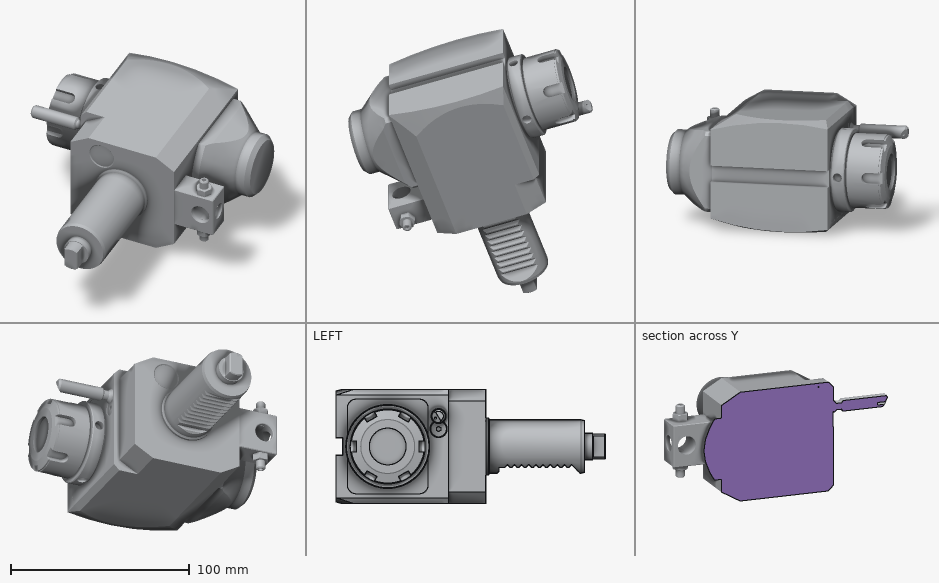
import cadquery as cq
import math


OVERALL_LENGTH = 128.63

BODY_DEPTH = 84.0
BODY_HALF_HEIGHT = 32.0
FRONT_LEFT_X = -32.0
REAR_COVER_FACE_X = 32.25
SPINDLE_FACE_X = -35.2
FRONT_SECTION_DEPTH = 21.0
SPINDLE_EDGE_CHAMFER = 3.2
BEVEL_HEIGHT = 6.5
BEVEL_LENGTH = BEVEL_HEIGHT / math.tan(math.radians(30))

CROWN_RADIUS = 150.0
CROWN_X = -8.9
CROWN_TOP_Z = 31.05
CROWN_SLOPE = math.tan(math.radians(15))

REAR_SLOT_WIDTH = 9.6
REAR_SLOT_DEPTH = 3.8

PLUG_RECESS_DIAMETER = 15.4
PLUG_RECESS_DEPTH = 0.5
RECESS_TAPER = 45.0
PLUG_RECESS_X = -12.6
PLUG_RECESS_Z = 21.7

FACE_PLATE_LENGTH = 45.3
FACE_PLATE_HEIGHT = 53.0
FACE_PLATE_CORNER = 5.0
FACE_PLATE_DEPTH = 0.1

SHANK_RADIUS = 15.0
COLLAR_RADIUS = 16.0
COLLAR_LENGTH = 1.4
COLLAR_TAPER_END = 2.1
SHANK_LENGTH = 55.2
SHANK_END_CHAMFER_LENGTH = 2.0
SHANK_END_CHAMFER = 0.5
DRIVE_BOSS_RADIUS = 7.5
DRIVE_BOSS_END = 59.7
TANG_END = 67.0
TANG_RADIUS = 7.1
TANG_THICKNESS = 8.0
TANG_CHAMFER = 0.5
TANG_BASE_FLARE = 0.6

RACK_START = 7.4
RACK_START_CHAMFER_Z = -13.9
RACK_DEPTH_Z = -11.9
RACK_GROOVE_DEPTH = 1.7
RACK_PITCH = 4.0
RACK_GROOVES = 10
RACK_FIRST_GROOVE = 12.0

SPINDLE_Y = 55.0
SEAT_RADIUS = 22.5
RING_BACK_X = -35.8
RING_FRONT_X = -43.3
RING_RADIUS = 23.5
RING_CHAMFER = 0.4
NECK_RADIUS = 19.5
NUT_BACK_X = -44.2
NUT_RADIUS = 21.0
NUT_SHOULDER_X = -62.4
NUT_STEP_RADIUS = 20.5
NUT_STEP_X = -63.4
NUT_FRONT_X = -64.8
NUT_NOSE_RADIUS = 15.1
COLLET_RADIUS = 10.3
COLLET_RECESS_DEPTH = 2.0
NUT_SLOTS = 6
NUT_SLOT_WIDTH = 6.4
NUT_SLOT_BOTTOM_RADIUS = 17.6
NUT_SLOT_END_X = -52.8
NUT_LONG_SLOT_END_X = -50.4
RING_HOLES = 4
RING_HOLE_X = -39.5
RING_HOLE_RADIUS = 2.6
RING_HOLE_DEPTH = 4.0

NOZZLE_Y = 26.5
NOZZLE_Z = 17.0
NOZZLE_RADIUS = 3.7
NOZZLE_TIP_X = -67.8
NOZZLE_TIP_CHAMFER = 1.0
NOZZLE_BEVEL_ROLL = 32.0
NOZZLE_BEVEL_OFFSET = 0.3
NOZZLE_OUTLET_RADIUS = 0.6
NOZZLE_OUTLET_OFFSET = 2.1
NOZZLE_OUTLET_DEPTH = 6.0
NOZZLE_BACK_X = -40.8
NOZZLE_NECK_START_X = -39.9
NOZZLE_NECK_END_X = -36.9
NOZZLE_NECK_RADIUS = 2.7
NOZZLE_SEAT_RADIUS = 4.2
SCREW_PLUG_Z = 9.8
SCREW_PLUG_RADIUS = 4.8
SCREW_PLUG_RECESS_DEPTH = 0.4
SCREW_PLUG_SOCKET_WIDTH = 2.5
SCREW_PLUG_SOCKET_DEPTH = 1.0

COVER_RADIUS = 32.3
COVER_CYLINDER_END_X = 36.4
COVER_CONE_END_X = 52.8
CAP_RADIUS = 18.3
CAP_CHAMFER_X = 58.3
CAP_END_X = NOZZLE_TIP_X + OVERALL_LENGTH
CAP_END_RADIUS = 15.8
COVER_FLAT_Z = 23.0
COVER_FLAT_Y = 79.7
COVER_TILT_X = 39.1
COVER_TILT = math.radians(15)

BLOCK_END_X = 56.0
BLOCK_Y_MIN = 0.8
BLOCK_Y_MAX = 15.9
BLOCK_HALF_HEIGHT = 12.3
BLOCK_EDGE_CHAMFER = 0.4
BLOCK_HOLE_X = 48.1
BLOCK_HOLE_RADIUS = 5.4
BLOCK_HOLE_CHAMFER = 0.3
BLOCK_PORT_RADIUS = 4.6
SCREW_Y = 5.9
SCREW_RADIUS = 2.6
SCREW_TIP_Z = 5.2
SCREW_END_Z = 21.1
SCREW_END_CHAMFER = 0.6
SCREW_SOCKET_WIDTH = 2.5
SCREW_SOCKET_DEPTH = 2.0
LOCK_NUT_ACROSS_FLATS = 8.0
LOCK_NUT_END_Z = 16.2
LOCK_NUT_CHAMFER = 0.5


def box(x_range, y_range, z_range):
    size = [high - low for low, high in (x_range, y_range, z_range)]
    corner = (x_range[0], y_range[0], z_range[0])
    return cq.Workplane("XY").box(*size, centered=False).translate(corner)


def turned_about_x(profile, y):
    """Revolve (x, radius) points about the line parallel to X through y."""
    points = [(profile[0][0], 0.0)] + profile + [(profile[-1][0], 0.0)]
    solid = cq.Workplane("XY").polyline(points).close().revolve(360, (0, 0, 0), (1, 0, 0))
    return solid.translate((0, y, 0))


def turned_about_shank(profile):
    """Revolve (radius, distance in front of the housing) points about the Y axis."""
    points = [(0.0, profile[0][1])] + profile + [(0.0, profile[-1][1])]
    points = [(radius, -distance) for radius, distance in points]
    return cq.Workplane("XY").polyline(points).close().revolve(360, (0, 0, 0), (0, 1, 0))


def mirrored_in_z(upper_points):
    return upper_points + [(x, -z) for x, z in reversed(upper_points)]


def extruded_along_y(outline, y_start, y_end):
    section = cq.Workplane("XZ").polyline(outline).close()
    return section.extrude(y_start - y_end).translate((0, y_start, 0))


def rear_crown(side):
    front_radius = CROWN_RADIUS + BODY_DEPTH * CROWN_SLOPE
    center_z = side * (CROWN_TOP_Z - CROWN_RADIUS)
    cone = cq.Solid.makeCone(
        front_radius, CROWN_RADIUS, BODY_DEPTH,
        cq.Vector(CROWN_X, 0, center_z), cq.Vector(0, 1, 0),
    )
    return cq.Workplane(obj=cone)


def make_housing():
    bevel_z = BODY_HALF_HEIGHT - BEVEL_HEIGHT
    right_bevel = [
        (REAR_COVER_FACE_X - BEVEL_LENGTH, BODY_HALF_HEIGHT),
        (REAR_COVER_FACE_X, bevel_z),
    ]
    left_bevel = [
        (FRONT_LEFT_X, bevel_z),
        (FRONT_LEFT_X + BEVEL_LENGTH, BODY_HALF_HEIGHT),
    ]
    front_outline = mirrored_in_z(left_bevel + right_bevel)
    chamfer_z = BODY_HALF_HEIGHT - SPINDLE_EDGE_CHAMFER
    chamfer_x = SPINDLE_FACE_X + SPINDLE_EDGE_CHAMFER
    rear_outline = mirrored_in_z(
        [(SPINDLE_FACE_X, chamfer_z), (chamfer_x, BODY_HALF_HEIGHT)] + right_bevel
    )
    rear = extruded_along_y(rear_outline, FRONT_SECTION_DEPTH, BODY_DEPTH)
    rear = rear.intersect(rear_crown(1)).intersect(rear_crown(-1))
    housing = extruded_along_y(front_outline, 0, FRONT_SECTION_DEPTH).union(rear)

    slot = box(
        (SPINDLE_FACE_X, REAR_COVER_FACE_X),
        (BODY_DEPTH - REAR_SLOT_DEPTH, BODY_DEPTH),
        (-REAR_SLOT_WIDTH / 2, REAR_SLOT_WIDTH / 2),
    )
    plug_recess = (
        cq.Workplane("XZ").center(PLUG_RECESS_X, PLUG_RECESS_Z)
        .circle(PLUG_RECESS_DIAMETER / 2).extrude(-PLUG_RECESS_DEPTH, taper=RECESS_TAPER)
    )
    return housing.cut(slot).cut(plug_recess)


def make_face_recesses():
    face = cq.Workplane("YZ", origin=(SPINDLE_FACE_X, 0, 0))
    plate = (
        face.center(SPINDLE_Y, 0).rect(FACE_PLATE_LENGTH, FACE_PLATE_HEIGHT)
        .extrude(FACE_PLATE_DEPTH).edges("|X").fillet(FACE_PLATE_CORNER)
    )
    screw_plug = (
        face.center(NOZZLE_Y, SCREW_PLUG_Z)
        .circle(SCREW_PLUG_RADIUS).extrude(SCREW_PLUG_RECESS_DEPTH, taper=RECESS_TAPER)
    )
    socket = (
        face.center(NOZZLE_Y, SCREW_PLUG_Z)
        .polygon(6, SCREW_PLUG_SOCKET_WIDTH, circumscribed=True)
        .extrude(SCREW_PLUG_SOCKET_DEPTH)
    )
    return plate.union(screw_plug).union(socket)


def make_rack():
    """Clearance cut along the -Z side of the shank that leaves the rack teeth."""
    below = -COLLAR_RADIUS
    points = [
        (-RACK_START + RACK_START_CHAMFER_Z - below, below),
        (-RACK_START, RACK_START_CHAMFER_Z),
        (-RACK_START, RACK_DEPTH_Z),
    ]
    groove_z = RACK_DEPTH_Z + RACK_GROOVE_DEPTH
    for index in range(RACK_GROOVES):
        center = -(RACK_FIRST_GROOVE + index * RACK_PITCH)
        points += [
            (center + RACK_GROOVE_DEPTH, RACK_DEPTH_Z),
            (center, groove_z),
            (center - RACK_GROOVE_DEPTH, RACK_DEPTH_Z),
        ]
    points[-1] = (center - (groove_z - below), below)
    return cq.Workplane("YZ").polyline(points).close().extrude(SHANK_RADIUS, both=True)


def make_shank():
    shank = turned_about_shank([
        (COLLAR_RADIUS, 0),
        (COLLAR_RADIUS, COLLAR_LENGTH),
        (SHANK_RADIUS, COLLAR_TAPER_END),
        (SHANK_RADIUS, SHANK_LENGTH - SHANK_END_CHAMFER_LENGTH),
        (SHANK_RADIUS - SHANK_END_CHAMFER, SHANK_LENGTH),
    ])
    boss = turned_about_shank([(DRIVE_BOSS_RADIUS, 0), (DRIVE_BOSS_RADIUS, DRIVE_BOSS_END)])
    tang = turned_about_shank([
        (TANG_RADIUS, DRIVE_BOSS_END),
        (TANG_RADIUS, TANG_END - TANG_CHAMFER),
        (TANG_RADIUS - TANG_CHAMFER, TANG_END),
    ])
    half = TANG_THICKNESS / 2
    half_outline = [
        (half + TANG_BASE_FLARE, -DRIVE_BOSS_END),
        (half, -DRIVE_BOSS_END - TANG_BASE_FLARE),
        (half, -TANG_END + TANG_CHAMFER),
        (half - TANG_CHAMFER, -TANG_END),
    ]
    outline = half_outline + [(-x, y) for x, y in reversed(half_outline)]
    tang_slab = cq.Workplane("XY").polyline(outline).close().extrude(TANG_RADIUS, both=True)
    tang = tang.intersect(tang_slab)
    return shank.cut(make_rack()).union(boss).union(tang)


def make_nut_slot(angle, end_x):
    """Round-ended wrench slot in the nut, open towards its front."""
    end_center_x = end_x - NUT_SLOT_WIDTH / 2
    length = end_center_x - NUT_FRONT_X
    depth = NUT_RADIUS - NUT_SLOT_BOTTOM_RADIUS
    section = cq.Workplane("XY", origin=(0, 0, NUT_SLOT_BOTTOM_RADIUS))
    straight = (
        section.center(end_center_x - length / 2, 0)
        .rect(length, NUT_SLOT_WIDTH).extrude(depth)
    )
    round_end = section.center(end_center_x, 0).circle(NUT_SLOT_WIDTH / 2).extrude(depth)
    slot = straight.union(round_end)
    return slot.rotate((0, 0, 0), (1, 0, 0), angle).translate((0, SPINDLE_Y, 0))


def make_ring_hole(angle):
    """Radial blind hole with a conical bottom."""
    bottom = RING_RADIUS - RING_HOLE_DEPTH
    hole = (
        cq.Workplane("XZ")
        .polyline([
            (0, bottom - RING_HOLE_RADIUS / 2),
            (RING_HOLE_RADIUS, bottom),
            (RING_HOLE_RADIUS, RING_RADIUS),
            (0, RING_RADIUS),
        ])
        .close().revolve(360, (0, 0, 0), (0, 1, 0))
    )
    hole = hole.translate((RING_HOLE_X, 0, 0))
    return hole.rotate((0, 0, 0), (1, 0, 0), angle).translate((0, SPINDLE_Y, 0))


def make_spindle_nose():
    nose = turned_about_x([
        (SPINDLE_FACE_X + FACE_PLATE_DEPTH, SEAT_RADIUS),
        (RING_BACK_X, SEAT_RADIUS),
        (RING_BACK_X, RING_RADIUS - RING_CHAMFER),
        (RING_BACK_X - RING_CHAMFER, RING_RADIUS),
        (RING_FRONT_X + RING_CHAMFER, RING_RADIUS),
        (RING_FRONT_X, RING_RADIUS - RING_CHAMFER),
        (RING_FRONT_X, NECK_RADIUS),
        (NUT_BACK_X, NECK_RADIUS),
        (NUT_BACK_X, NUT_RADIUS),
        (NUT_SHOULDER_X, NUT_RADIUS),
        (NUT_SHOULDER_X, NUT_STEP_RADIUS),
        (NUT_STEP_X, NUT_STEP_RADIUS),
        (NUT_FRONT_X, NUT_NOSE_RADIUS),
    ], SPINDLE_Y)
    recess_end_x = NUT_FRONT_X + COLLET_RECESS_DEPTH
    nose = nose.cut(turned_about_x(
        [(NUT_FRONT_X, COLLET_RADIUS), (recess_end_x, COLLET_RADIUS)], SPINDLE_Y,
    ))
    for index in range(NUT_SLOTS):
        angle = 90 + index * 360 / NUT_SLOTS
        on_upper_half = math.cos(math.radians(angle)) > 0.5
        end_x = NUT_LONG_SLOT_END_X if on_upper_half else NUT_SLOT_END_X
        nose = nose.cut(make_nut_slot(angle, end_x))
    for index in range(RING_HOLES):
        nose = nose.cut(make_ring_hole(index * 360 / RING_HOLES))
    return nose


def make_nozzle():
    nozzle = turned_about_x([
        (SPINDLE_FACE_X, NOZZLE_SEAT_RADIUS),
        (NOZZLE_NECK_END_X, NOZZLE_NECK_RADIUS),
        (NOZZLE_NECK_START_X, NOZZLE_NECK_RADIUS),
        (NOZZLE_BACK_X, NOZZLE_RADIUS),
        (NOZZLE_TIP_X + NOZZLE_TIP_CHAMFER, NOZZLE_RADIUS),
        (NOZZLE_TIP_X, NOZZLE_RADIUS - NOZZLE_TIP_CHAMFER),
    ], 0)
    bevel_depth = NOZZLE_RADIUS - NOZZLE_BEVEL_OFFSET
    bevel = (
        cq.Workplane("XY")
        .polyline([
            (NOZZLE_TIP_X, NOZZLE_BEVEL_OFFSET),
            (NOZZLE_TIP_X + bevel_depth, NOZZLE_RADIUS),
            (NOZZLE_TIP_X, NOZZLE_RADIUS),
        ])
        .close().extrude(NOZZLE_RADIUS, both=True)
    )
    outlet = (
        cq.Workplane("YZ", origin=(NOZZLE_TIP_X, NOZZLE_OUTLET_OFFSET, 0))
        .circle(NOZZLE_OUTLET_RADIUS).extrude(NOZZLE_OUTLET_DEPTH)
    )
    tip_cut = bevel.union(outlet).rotate((0, 0, 0), (1, 0, 0), -NOZZLE_BEVEL_ROLL)
    return nozzle.cut(tip_cut).translate((0, NOZZLE_Y, NOZZLE_Z))


def make_bearing_cover():
    cover = turned_about_x([
        (REAR_COVER_FACE_X, COVER_RADIUS),
        (COVER_CYLINDER_END_X, COVER_RADIUS),
        (COVER_CONE_END_X, CAP_RADIUS),
        (CAP_CHAMFER_X, CAP_RADIUS),
        (CAP_END_X, CAP_END_RADIUS),
    ], SPINDLE_Y)
    tilt_drop = (CAP_END_X - COVER_TILT_X) * math.tan(COVER_TILT)
    envelope = mirrored_in_z([
        (REAR_COVER_FACE_X, COVER_FLAT_Z),
        (COVER_TILT_X, COVER_FLAT_Z),
        (CAP_END_X, COVER_FLAT_Z - tilt_drop),
    ])
    trimmed = cover.intersect(extruded_along_y(envelope, 0, COVER_FLAT_Y))
    cap = turned_about_x([
        (COVER_CONE_END_X, CAP_RADIUS),
        (CAP_CHAMFER_X, CAP_RADIUS),
        (CAP_END_X, CAP_END_RADIUS),
    ], SPINDLE_Y)
    return trimmed.union(cap)


def make_clamp_screw():
    """Set screw with hex socket and lock nut on the +Z side of the coolant block."""
    at_screw = cq.Workplane("XY").center(BLOCK_HOLE_X, SCREW_Y)
    screw = at_screw.workplane(offset=SCREW_TIP_Z).circle(SCREW_RADIUS)
    screw = screw.extrude(SCREW_END_Z - SCREW_TIP_Z).faces(">Z").chamfer(SCREW_END_CHAMFER)

    nut_height = LOCK_NUT_END_Z - BLOCK_HALF_HEIGHT
    corner_radius = LOCK_NUT_ACROSS_FLATS / math.sqrt(3)
    nut_plane = at_screw.workplane(offset=BLOCK_HALF_HEIGHT)
    nut = nut_plane.polygon(6, 2 * corner_radius).extrude(nut_height)
    nut_round = nut_plane.circle(corner_radius).extrude(nut_height)
    nut = nut.intersect(nut_round.faces(">Z").chamfer(LOCK_NUT_CHAMFER))

    socket = at_screw.workplane(offset=SCREW_END_Z)
    socket = socket.polygon(6, SCREW_SOCKET_WIDTH, circumscribed=True)
    return screw.union(nut).cut(socket.extrude(-SCREW_SOCKET_DEPTH))


def make_coolant_block():
    block = box(
        (REAR_COVER_FACE_X, BLOCK_END_X),
        (BLOCK_Y_MIN, BLOCK_Y_MAX),
        (-BLOCK_HALF_HEIGHT, BLOCK_HALF_HEIGHT),
    )
    block = block.edges(">X or (|X and >Z) or (|X and <Z)").chamfer(BLOCK_EDGE_CHAMFER)
    hole = (
        cq.Workplane("XZ", origin=(BLOCK_HOLE_X, BLOCK_Y_MAX, 0))
        .circle(BLOCK_HOLE_RADIUS).extrude(BLOCK_Y_MAX - BLOCK_Y_MIN)
    )
    hole_mouth = (
        cq.Workplane("XZ", origin=(BLOCK_HOLE_X, BLOCK_Y_MIN, 0))
        .circle(BLOCK_HOLE_RADIUS + BLOCK_HOLE_CHAMFER)
        .extrude(-BLOCK_HOLE_CHAMFER, taper=45)
    )
    port = (
        cq.Workplane("YZ", origin=(BLOCK_HOLE_X, (BLOCK_Y_MIN + BLOCK_Y_MAX) / 2, 0))
        .circle(BLOCK_PORT_RADIUS).extrude(BLOCK_END_X - BLOCK_HOLE_X)
    )
    block = block.cut(hole).cut(hole_mouth).cut(port)
    screw = make_clamp_screw()
    return block.union(screw).union(screw.mirror("XY"))


result = make_housing().cut(make_face_recesses())
for attachment in (
    make_shank(),
    make_spindle_nose(),
    make_nozzle(),
    make_bearing_cover(),
    make_coolant_block(),
):
    result = result.union(attachment)